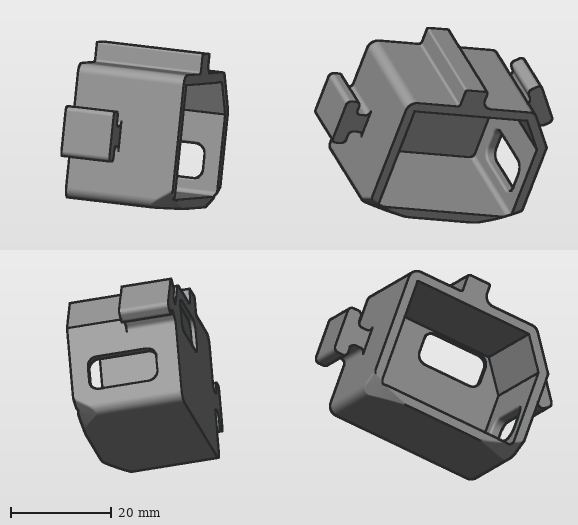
import cadquery as cq
import math

TILT = 20
TILT_COS = math.cos(math.radians(TILT))
TILT_SIN = math.sin(math.radians(TILT))

DEPTH = 22.05
WIDTH = 34
HEIGHT = 26.95
SLANT = 35
KINK_V = 19.05
CORNER_RADIUS = 2.0

PLATE = 1.0
WALL = 2.0
CAVITY_RADIUS = 1.0

RIB_U = 11.45
RIB_WIDTH = 5.0
RIB_HEIGHT = 3.95
RIB_TIP_RADIUS = 0.4
RIB_ROOT_RADIUS = 0.5
RIB_FAR_ROOT_RADIUS = 2.0

CONE_U = WIDTH / 2
CONE_V = 32.6
CONE_END_RADIUS = 33.55
CONE_SLOPE = 31
CONE_EDGE_RADIUS = 0.5
CONE_LENGTH = DEPTH / 2

WINDOW_LENGTH = 13.97
WINDOW_HEIGHT = 7
WINDOW_RADIUS = 2.0
PLATE_WINDOW_U = 20.55
PLATE_WINDOW_V = 21.15
WALL_WINDOW_TOP = 12.0
WALL_WINDOW_EDGE_RADIUS = 0.5

RAIL_LENGTH = 10.0
HEAD_THICKNESS = 3.0
HEAD_WIDTH = 9.95
STEM_LENGTH = 3.05
STEM_WIDTH = 4.0
STEM_ROOT = WALL / 2
RAIL_RADIUS = 1.0
NEAR_RAIL_V = 13.45
FAR_RAIL_SHIFT = 0.2
FAR_RAIL_SETBACK = 1.2
FAR_UPPER_ROOT_RADIUS = 0.5


def section_outline(inset):
    """Corners of the body section, moved inward by the inset."""
    slant = math.radians(SLANT)
    far = WIDTH - inset
    top = HEIGHT - inset
    kink = KINK_V - inset * (1 - math.cos(slant)) / math.sin(slant)
    top_far = far - (top - kink) * math.tan(slant)
    return [(inset, inset), (far, inset), (far, kink), (top_far, top), (inset, top)]


def prism(points, start, end):
    base = cq.Workplane("XY").workplane(offset=start)
    return base.polyline(points).close().extrude(end - start)


def block(u_size, v_size, length):
    return cq.Workplane("XY").rect(u_size, v_size).extrude(length)


def round_edge(solid, point, w, radius):
    """Fillet the lengthwise edge through the section point, found at depth w."""
    u, v = point
    return solid.edges("|Z").edges(cq.NearestToPointSelector((u, v, w))).fillet(radius)


def add_rib(body):
    sides = (RIB_U, RIB_U + RIB_WIDTH)
    middle = RIB_U + RIB_WIDTH / 2
    rib = block(RIB_WIDTH, 2 * RIB_HEIGHT, DEPTH).edges("|Z and >Y").fillet(RIB_TIP_RADIUS)
    body = body.union(rib.translate((middle, HEIGHT, 0)))
    for u, radius in zip(sides, (RIB_ROOT_RADIUS, RIB_FAR_ROOT_RADIUS)):
        body = round_edge(body, (u, HEIGHT), DEPTH / 2, radius)
    return body


def trimming_cone():
    start = DEPTH - CONE_LENGTH
    start_radius = CONE_END_RADIUS + CONE_LENGTH * math.tan(math.radians(CONE_SLOPE))
    cone = cq.Solid.makeCone(start_radius, CONE_END_RADIUS, CONE_LENGTH)
    full_section = cq.Workplane("XY").circle(start_radius).extrude(start)
    trimmer = full_section.union(cq.Workplane(cone.translate(cq.Vector(0, 0, start))))
    return trimmer.translate((CONE_U, CONE_V, 0))


def trim_with_cone(body):
    """Keep what lies within the cone, then round the sides and the end of the cut faces."""
    cone = trimming_cone()
    body = body.intersect(cone)
    body = body.faces("%CONE").edges("not %CIRCLE").fillet(CONE_EDGE_RADIUS)
    return body.intersect(cone.edges(">Z").fillet(CONE_EDGE_RADIUS))


def make_body():
    outline = section_outline(0)
    lower_near, lower_far, _, upper_far, upper_near = outline
    body = prism(outline, 0, DEPTH)
    for corner in (lower_near, lower_far, upper_far, upper_near):
        body = round_edge(body, corner, DEPTH / 2, CORNER_RADIUS)
    return trim_with_cone(add_rib(body))


def make_cavity():
    outline = section_outline(WALL)
    cavity = prism(outline, PLATE, DEPTH)
    for corner in outline[:2]:
        cavity = round_edge(cavity, corner, DEPTH / 2, CAVITY_RADIUS)
    return cavity


def window(thickness):
    return block(WINDOW_LENGTH, WINDOW_HEIGHT, thickness).edges("|Z").fillet(WINDOW_RADIUS)


def cut_plate_window(body):
    return body.cut(window(PLATE).translate((PLATE_WINDOW_U, PLATE_WINDOW_V, 0)))


def cut_wall_window(body):
    """Window through the far wall, centred along the cavity, with rounded inner edges."""
    opening = window(WALL).rotate((0, 0, 0), (0, 1, 0), 90)
    inner_u = WIDTH - WALL
    middle = (PLATE + DEPTH) / 2
    center_v = WALL_WINDOW_TOP - WINDOW_HEIGHT / 2
    body = body.cut(opening.translate((inner_u, center_v, middle)))
    inner_rim = cq.NearestToPointSelector((inner_u, WALL_WINDOW_TOP, middle))
    return body.edges(inner_rim).fillet(WALL_WINDOW_EDGE_RADIUS)


def make_rail():
    """Rail pointing along +u, with its stem starting at the origin."""
    head = block(HEAD_THICKNESS, HEAD_WIDTH, RAIL_LENGTH).edges("|Z").fillet(RAIL_RADIUS)
    head = head.translate((STEM_LENGTH + HEAD_THICKNESS / 2, 0, 0))
    stem_size = STEM_LENGTH + STEM_ROOT
    stem = block(stem_size, STEM_WIDTH, RAIL_LENGTH).translate((stem_size / 2 - STEM_ROOT, 0, 0))
    rail = head.union(stem)
    for side in (-1, 1):
        corner = (STEM_LENGTH, side * STEM_WIDTH / 2)
        rail = round_edge(rail, corner, RAIL_LENGTH / 2, RAIL_RADIUS)
    return rail


def add_near_rail(body):
    rail = make_rail().rotate((0, 0, 0), (0, 0, 1), 180)
    body = body.union(rail.translate((0, NEAR_RAIL_V, 0)))
    for side in (-1, 1):
        root = (0, NEAR_RAIL_V + side * STEM_WIDTH / 2)
        body = round_edge(body, root, RAIL_LENGTH / 2, RAIL_RADIUS)
    return body


def add_far_rail(body):
    slant = math.radians(SLANT)
    rail = make_rail().translate((-FAR_RAIL_SETBACK, FAR_RAIL_SHIFT, 0))
    rail = rail.rotate((0, 0, 0), (0, 0, 1), SLANT)
    body = body.union(rail.translate((WIDTH, KINK_V, 0)))

    upper_rise = FAR_RAIL_SHIFT + STEM_WIDTH / 2
    upper_root = (WIDTH - upper_rise * math.sin(slant), KINK_V + upper_rise * math.cos(slant))
    body = round_edge(body, upper_root, RAIL_LENGTH / 2, FAR_UPPER_ROOT_RADIUS)

    lower_drop = STEM_WIDTH / 2 - FAR_RAIL_SHIFT
    lower_root = (WIDTH, KINK_V - lower_drop / math.cos(slant))
    return round_edge(body, lower_root, RAIL_LENGTH / 2, RAIL_RADIUS)


housing = add_far_rail(add_near_rail(make_body()))
housing = housing.cut(make_cavity())
housing = cut_wall_window(cut_plate_window(housing))

section_plane = cq.Plane(origin=(0, 0, 0), xDir=(0, TILT_COS, -TILT_SIN), normal=(1, 0, 0))
result = cq.Workplane(housing.val().moved(cq.Location(section_plane)))